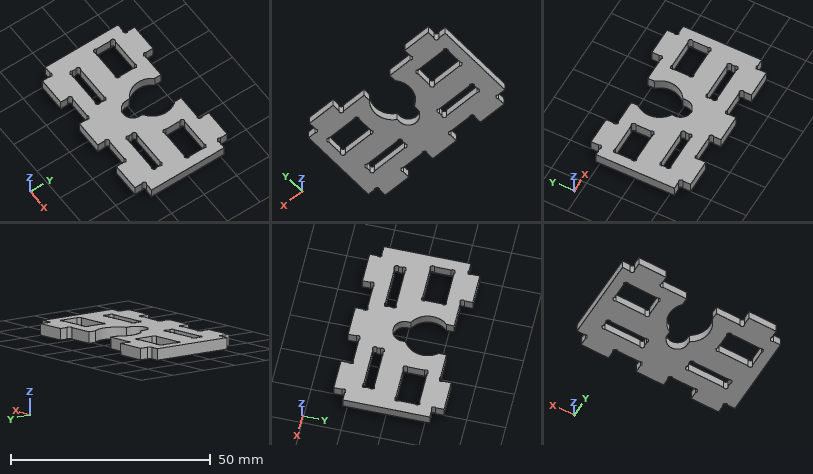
import cadquery as cq
import math

length = 46.0
thickness = 3.0
overall_width = 28.4
tab_depth = thickness
body_width = overall_width - 2 * tab_depth
body_edge = body_width / 2

tab_width = 8.0
tab_pitch = 16.0

relief_radius = 0.6
relief_offset = relief_radius / math.sqrt(2)

window_length = 10.07
window_width = 6.03
window_x = 15.0
window_y = 4.65
slot_length = 11.8
slot_width = 2.65
slot_x = 12.15
slot_y = -5.75

neck_width = 8.6
bore_radius = 5.75
bore_y = 5.4
keyway_radius = 2.85
keyway_end_y = -0.6


def block(size_x, size_y, x, y):
    """Full-thickness rectangular block centred at (x, y)."""
    return cq.Workplane("XY").center(x, y).rect(size_x, size_y).extrude(thickness)


def cylinder(radius, x, y):
    """Full-thickness cylinder centred at (x, y)."""
    return cq.Workplane("XY").center(x, y).circle(radius).extrude(thickness)


def relieved_opening(size_x, size_y, x, y):
    """Rectangular cutter with a round relief at each corner."""
    cutter = block(size_x, size_y, x, y)
    for side_x in (-1, 1):
        for side_y in (-1, 1):
            relief_x = x + side_x * (size_x / 2 - relief_offset)
            relief_y = y + side_y * (size_y / 2 - relief_offset)
            cutter = cutter.union(cylinder(relief_radius, relief_x, relief_y))
    return cutter


def add_tab(plate, x, side_y):
    """Add a tab on the side_y edge and relieve the corners at its root."""
    plate = plate.union(block(tab_width, tab_depth, x, side_y * (body_edge + tab_depth / 2)))
    for side_x in (-1, 1):
        relief_x = x + side_x * (tab_width / 2 + relief_offset)
        relief_y = side_y * (body_edge + relief_offset)
        plate = plate.cut(cylinder(relief_radius, relief_x, relief_y))
    return plate


def keyhole():
    """Neck, round bore and round-ended keyway joined into one cutter."""
    neck_length = body_edge - bore_y
    neck = block(neck_width, neck_length, 0, bore_y + neck_length / 2)
    keyway_length = bore_y - keyway_end_y
    keyway = block(2 * keyway_radius, keyway_length, 0, keyway_end_y + keyway_length / 2)
    return (
        neck.union(cylinder(bore_radius, 0, bore_y))
        .union(keyway)
        .union(cylinder(keyway_radius, 0, keyway_end_y))
    )


plate = block(length, body_width, 0, 0)

for tab_x in (-tab_pitch, tab_pitch):
    plate = add_tab(plate, tab_x, 1)
for tab_x in (-tab_pitch, 0, tab_pitch):
    plate = add_tab(plate, tab_x, -1)

for side in (-1, 1):
    plate = plate.cut(relieved_opening(window_length, window_width, side * window_x, window_y))
    plate = plate.cut(relieved_opening(slot_length, slot_width, side * slot_x, slot_y))

result = plate.cut(keyhole())